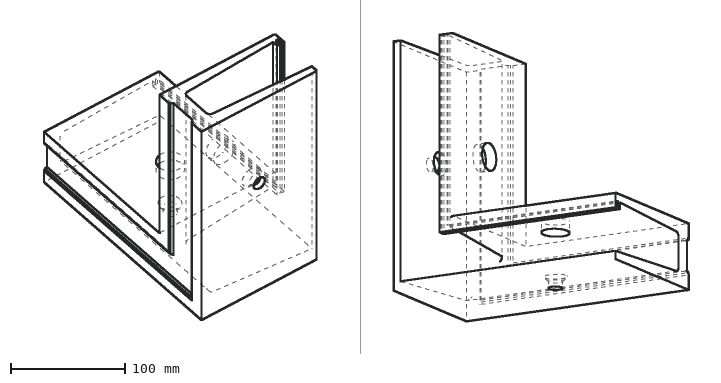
import cadquery as cq

leg_length = 225.0
depth = 128.0
leg_height = 60.0
outer_wall_tip = 7.5
inner_wall_tip = 7.0
wall_taper = 5.2
web_thickness = 18.0
floor_fillet = 4.3
back_rounding = 1.1

lip_reach = 13.3
lip_depth = 7.9
slot_offset = 2.5
slot_width = 2.2

groove_center = (outer_wall_tip + leg_height - inner_wall_tip) / 2
groove_mouth = 33.3
groove_neck = 29.7
groove_floor = 27.5
groove_depth = 3.1
flare_depth = 1.0

hole_from_end = 97.9
access_diameter = 24.7
screw_diameter = 12.4
countersink_diameter = 21.1

cavity_top = leg_height - inner_wall_tip


def channel_bar():
    """Straight full-length channel along -X with a plain front."""
    block = (
        cq.Workplane("XY")
        .box(leg_length, depth, leg_height, centered=False)
        .translate((-leg_length, 0, 0))
        .edges(">Y and |X")
        .fillet(back_rounding)
    )
    cavity = (
        cq.Workplane("YZ")
        .polyline([
            (depth, outer_wall_tip),
            (depth, cavity_top),
            (web_thickness, cavity_top - wall_taper),
            (web_thickness, outer_wall_tip + wall_taper),
        ])
        .close()
        .extrude(-leg_length)
        .edges("<Y and |X")
        .fillet(floor_fillet)
    )
    return block.cut(cavity)


def lips():
    """Two parallel lips hanging from the open edge of the inner wall."""
    bottom = leg_height - lip_reach
    strip = (
        cq.Workplane("XY")
        .box(leg_length, lip_depth, lip_reach - back_rounding, centered=False)
        .translate((-leg_length, depth - lip_depth, bottom))
    )
    slot = (
        cq.Workplane("XY")
        .box(leg_length, slot_width, lip_reach - inner_wall_tip, centered=False)
        .translate((-leg_length, depth - slot_offset - slot_width, bottom))
    )
    return strip.cut(slot)


def front_groove():
    half_section = [
        (0, groove_mouth / 2),
        (flare_depth, groove_neck / 2),
        (groove_depth, groove_floor / 2),
    ]
    lower = [(y, groove_center - z) for y, z in half_section]
    upper = [(y, groove_center + z) for y, z in reversed(half_section)]
    return cq.Workplane("YZ").polyline(lower + upper).close().extrude(-leg_length)


def screw_hole():
    """Access hole through the inner wall and countersunk hole through the outer wall."""
    axis_y = depth / 2
    axis_fraction = (depth - axis_y) / (depth - web_thickness)
    wall_at_axis = outer_wall_tip + wall_taper * axis_fraction
    cone_bottom = wall_at_axis - (countersink_diameter - screw_diameter) / 2
    half_section = [
        (0, 0),
        (screw_diameter / 2, 0),
        (screw_diameter / 2, cone_bottom),
        (countersink_diameter / 2, wall_at_axis),
        (countersink_diameter / 2, leg_height / 2),
        (access_diameter / 2, leg_height / 2),
        (access_diameter / 2, leg_height),
        (0, leg_height),
    ]
    return (
        cq.Workplane("XZ")
        .polyline(half_section)
        .close()
        .revolve(360, (0, 0, 0), (0, 1, 0))
        .translate((hole_from_end - leg_length, axis_y, 0))
    )


def miter_wedge():
    """Keeps the part of the bar on its own side of the 45 degree corner joint."""
    return (
        cq.Workplane("XZ")
        .polyline([
            (0, 0),
            (-leg_height, leg_height),
            (-leg_length, leg_height),
            (-leg_length, 0),
        ])
        .close()
        .extrude(-depth)
    )


bar = channel_bar().union(lips()).cut(front_groove()).cut(screw_hole())
horizontal_leg = bar.intersect(miter_wedge())
vertical_leg = horizontal_leg.mirror((1, 0, 1))
result = horizontal_leg.union(vertical_leg)